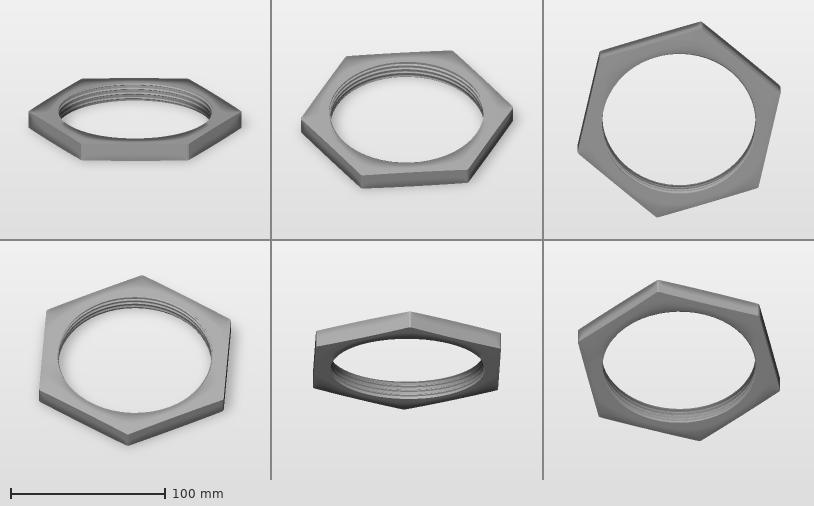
import cadquery as cq
import math

across_flats = 120.0
across_corners = 138.0
thickness = 12.0

bevel_circle_diameter = 119.2
bevel_drop_at_corner = 0.4

minor_radius = 49.7
root_radius = 50.6
thread_pitch = 3.2
crest_width = 0.3
flank_angle = 60
runout_angle = 189
ridge_embedding = 0.3


def make_hexagon():
    """Hexagonal prism whose vertical corners are turned round about the axis."""
    sharp_diameter = across_flats / math.cos(math.radians(30))
    turned_blank = cq.Workplane("XY").circle(across_corners / 2).extrude(thickness)
    return (
        cq.Workplane("XY")
        .polygon(6, sharp_diameter)
        .extrude(thickness)
        .rotate((0, 0, 0), (0, 0, 1), 30)
        .intersect(turned_blank)
    )


def make_bevel_envelope():
    """Disc with coned rims; keeping what lies inside it bevels the corners."""
    flat_radius = bevel_circle_diameter / 2
    corner_radius = across_corners / 2
    slope = bevel_drop_at_corner / (corner_radius - flat_radius)
    rim_radius = corner_radius + 1.4
    rim_drop = slope * (rim_radius - flat_radius)
    return (
        cq.Workplane("XZ")
        .moveTo(0, 0)
        .lineTo(flat_radius, 0)
        .lineTo(rim_radius, rim_drop)
        .lineTo(rim_radius, thickness - rim_drop)
        .lineTo(flat_radius, thickness)
        .lineTo(0, thickness)
        .close()
        .revolve(360, (0, 0, 0), (0, 1, 0))
    )


def make_thread_ridge():
    """Helical ridge that stands on the root cylinder, trimmed flush with both faces."""
    base_radius = root_radius + ridge_embedding
    flank_run = (base_radius - minor_radius) * math.tan(math.radians(flank_angle / 2))
    half_crest = crest_width / 2
    half_base = half_crest + flank_run

    turns_below_top = math.ceil(thickness / thread_pitch) + 1
    turns = turns_below_top + 1
    helix = cq.Wire.makeHelix(thread_pitch, turns * thread_pitch, root_radius)
    ridge = (
        cq.Workplane("XZ")
        .moveTo(minor_radius, half_crest)
        .lineTo(base_radius, half_base)
        .lineTo(base_radius, -half_base)
        .lineTo(minor_radius, -half_crest)
        .close()
        .sweep(cq.Workplane(helix), isFrenet=True)
        .translate((0, 0, thickness - turns_below_top * thread_pitch))
        .rotate((0, 0, 0), (0, 0, 1), runout_angle)
    )
    slab = cq.Workplane("XY").rect(across_flats, across_flats).extrude(thickness)
    return ridge.intersect(slab)


bore = cq.Workplane("XY").circle(root_radius).extrude(thickness)
body = make_hexagon().intersect(make_bevel_envelope()).cut(bore)
result = body.union(make_thread_ridge())